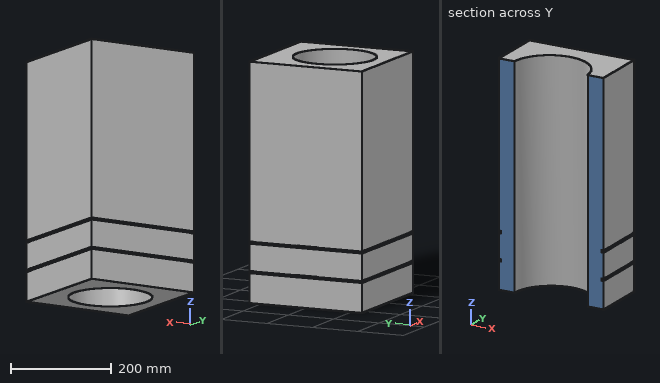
import cadquery as cq

block_x = 240.0
block_y = 248.0
block_height = 490.0

bore_diameter = 167.5
bore_top_offset_y = -8.0

groove_height = 4.0
lower_groove_z = 61.2
groove_pitch = 60.0
core_width = 230.5
core_back_center_y = 2.0
lower_core_front_center_y = -3.0
upper_core_front_center_y = -4.0


def make_block():
    return cq.Workplane("XY").box(block_x, block_y, block_height, centered=(True, True, False))


def make_bore():
    """Join the centered bottom circle to the shifted top circle."""
    return (
        cq.Workplane("XY")
        .circle(bore_diameter / 2)
        .workplane(offset=block_height)
        .center(0, bore_top_offset_y)
        .circle(bore_diameter / 2)
        .loft(ruled=True)
    )


def make_groove(bottom_z, core_front_center_y):
    """Make the slab of material outside an obround core."""
    core_length = core_width + core_back_center_y - core_front_center_y
    core_center_y = (core_back_center_y + core_front_center_y) / 2
    core = (
        cq.Workplane("XY", origin=(0, core_center_y, bottom_z))
        .slot2D(core_length, core_width, angle=90)
        .extrude(groove_height)
    )
    slab = (
        cq.Workplane("XY", origin=(0, 0, bottom_z))
        .rect(block_x, block_y)
        .extrude(groove_height)
    )
    return slab.cut(core)


result = make_block().cut(make_bore())
for level, core_front_center_y in enumerate((lower_core_front_center_y, upper_core_front_center_y)):
    groove_z = lower_groove_z + level * groove_pitch
    result = result.cut(make_groove(groove_z, core_front_center_y))